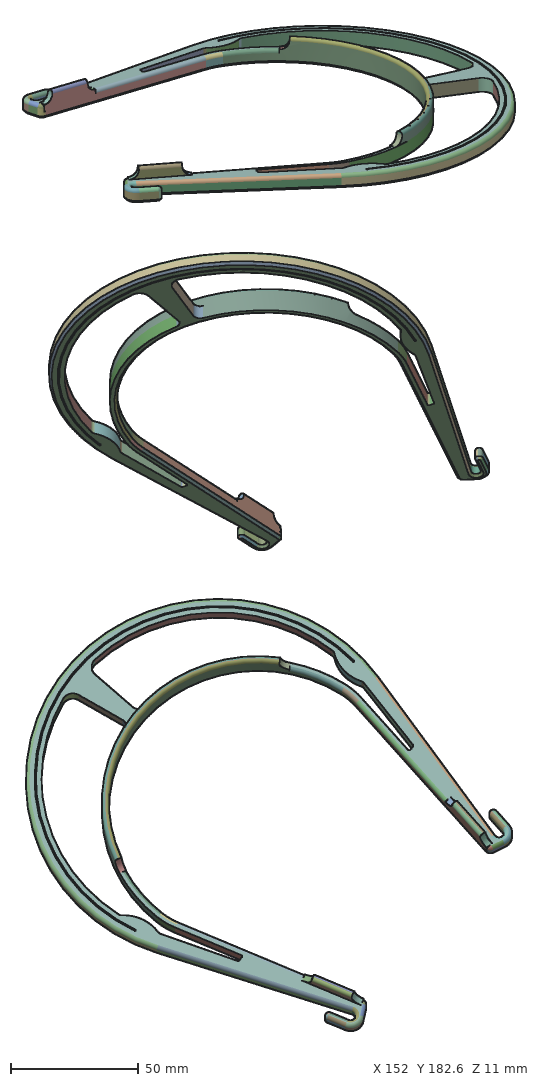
import cadquery as cq
import math

BASE_HEIGHT = 5.93
TOTAL_HEIGHT = 11.0
TOP_ROUND = 1.5
BOTTOM_CHAMFER = 1.1

RING_OUTER_R = 76.0
RING_INNER_R = 69.8

BAND_CENTRE_Y = -19.4
BAND_INNER_R = 58.6
BAND_WIDTH = 3.0
BAND_OUTER_R = BAND_INNER_R + BAND_WIDTH
BAND_JOINT_ANGLE = 1.3
BAND_JOINT_ROUND = 27.4

ARM_OUTER_ANGLE = 18.4
ARM_INNER_ANGLE = 13.0
ARM_INNER_LENGTH = 84.5
TIP_ROUND = 2.4

HOOK_INNER_R = 1.92
HOOK_WIDTH = 3.3
HOOK_OUTER_R = HOOK_INNER_R + HOOK_WIDTH
HOOK_BOTTOM_Y = -106.6
HOOK_LEG_LENGTH = 9.3
HOOK_END_ROUND = 1.55
HOOK_EXIT_ANGLE = -60.0

SPOKE_HALF_WIDTH_AT_BAND = 3.1
SPOKE_HALF_WIDTH_AT_RING = 5.8
SPOKE_ROUND_AT_BAND = 3.0
SPOKE_ROUND_AT_RING = 4.4
BUMP_START_Y = -4.0
BUMP_PEAK = (-65.46, -13.9)
BUMP_END = (-66.5, -20.6)
BUMP_ROUND = 2.2
WINDOW_BOTTOM_X = -57.0
WINDOW_BOTTOM_Y = -52.8
WINDOW_CORNER_ROUND = 0.5

SLOT_INNER_R = 72.0
SLOT_WIDTH = 0.5
SLOT_END_Y = -12.6

LIP_BOTTOM = BASE_HEIGHT / 2
LIP_FOOT_R = 4.0
LIP_TOP_ROUND = 1.37
BAND_LIP_END_ANGLE = 29.0
ARM_LIP_START = 61.7
ARM_LIP_LENGTH = 17.3


def polar(centre, radius, degrees):
    """Point at a radius and angle from a centre."""
    angle = math.radians(degrees)
    return (centre[0] + radius * math.cos(angle), centre[1] + radius * math.sin(angle))


BAND_CENTRE = (0, BAND_CENTRE_Y)
OUTER_NORMAL = 180 + ARM_OUTER_ANGLE
INNER_NORMAL = 180 + ARM_INNER_ANGLE
INNER_DIRECTION = INNER_NORMAL + 90
BAND_JOINT = polar(BAND_CENTRE, BAND_INNER_R, 180 + BAND_JOINT_ANGLE)


def round_upright(solid, point, radius):
    """Round the upright edge that stands nearest to a point in plan."""
    nearest = cq.selectors.NearestToPointSelector((point[0], point[1], BASE_HEIGHT / 2))
    return solid.edges("|Z").edges(nearest).fillet(radius)


def plate():
    """Flat plate with ring, arms and hooks; its left outline is mirrored to the right."""
    arm = math.radians(ARM_OUTER_ANGLE)
    hook_y = HOOK_BOTTOM_Y + HOOK_OUTER_R
    hook_x = -(RING_OUTER_R + HOOK_INNER_R + hook_y * math.sin(arm)) / math.cos(arm)
    hook = (hook_x, hook_y)
    leg_inner = polar(hook, HOOK_INNER_R, INNER_NORMAL)
    leg_outer = polar(hook, HOOK_OUTER_R, INNER_NORMAL)
    leg_end_inner = polar(leg_inner, -HOOK_LEG_LENGTH, INNER_DIRECTION)
    leg_end_outer = polar(leg_outer, -HOOK_LEG_LENGTH, INNER_DIRECTION)
    tip = polar(BAND_JOINT, ARM_INNER_LENGTH, INNER_DIRECTION)

    solid = (
        cq.Workplane("XY")
        .moveTo(0, RING_OUTER_R)
        .threePointArc(polar((0, 0), RING_OUTER_R, 135), polar((0, 0), RING_OUTER_R, OUTER_NORMAL))
        .lineTo(*polar(hook, -HOOK_INNER_R, OUTER_NORMAL))
        .threePointArc(polar(hook, HOOK_INNER_R, -90), leg_inner)
        .lineTo(*leg_end_inner)
        .lineTo(*leg_end_outer)
        .lineTo(*leg_outer)
        .threePointArc(polar(hook, HOOK_OUTER_R, -90), polar(hook, HOOK_OUTER_R, HOOK_EXIT_ANGLE))
        .lineTo(*tip)
        .lineTo(*BAND_JOINT)
        .threePointArc(polar(BAND_CENTRE, BAND_INNER_R, 135), polar(BAND_CENTRE, BAND_INNER_R, 90))
        .mirrorY()
        .extrude(BASE_HEIGHT)
    )
    rounds = (
        (BAND_JOINT, BAND_JOINT_ROUND),
        (tip, TIP_ROUND),
        (leg_end_inner, HOOK_END_ROUND),
        (leg_end_outer, HOOK_END_ROUND),
    )
    for (x, y), radius in rounds:
        solid = round_upright(solid, (x, y), radius)
        solid = round_upright(solid, (-x, y), radius)
    solid = solid.faces(">Z").edges().fillet(TOP_ROUND)
    return solid.faces("<Z").edges().chamfer(BOTTOM_CHAMFER)


def window():
    """Left window, cut through the plate."""
    def on_circle(centre_y, radius, x):
        return (x, centre_y + math.sqrt(radius**2 - x**2))

    spoke_band = on_circle(BAND_CENTRE_Y, BAND_OUTER_R, -SPOKE_HALF_WIDTH_AT_BAND)
    spoke_ring = on_circle(0, RING_INNER_R, -SPOKE_HALF_WIDTH_AT_RING)
    bump_start = (-math.sqrt(RING_INNER_R**2 - BUMP_START_Y**2), BUMP_START_Y)
    joint = polar(BAND_CENTRE, BAND_OUTER_R, 180 + BAND_JOINT_ANGLE)
    run = (WINDOW_BOTTOM_Y - joint[1]) / math.sin(math.radians(INNER_DIRECTION))
    bottom_right = polar(joint, run, INNER_DIRECTION)
    bottom_left = (WINDOW_BOTTOM_X, WINDOW_BOTTOM_Y)

    opening = (
        cq.Workplane("XY")
        .moveTo(*spoke_band)
        .lineTo(*spoke_ring)
        .threePointArc(polar((0, 0), RING_INNER_R, 135), bump_start)
        .threePointArc(BUMP_PEAK, BUMP_END)
        .lineTo(*bottom_left)
        .lineTo(*bottom_right)
        .lineTo(*joint)
        .threePointArc(polar(BAND_CENTRE, BAND_OUTER_R, 135), spoke_band)
        .close()
        .extrude(BASE_HEIGHT)
    )
    rounds = (
        (spoke_band, SPOKE_ROUND_AT_BAND),
        (spoke_ring, SPOKE_ROUND_AT_RING),
        (bump_start, BUMP_ROUND),
        (BUMP_END, BUMP_ROUND),
        (bottom_left, WINDOW_CORNER_ROUND),
        (bottom_right, WINDOW_CORNER_ROUND),
        (joint, BAND_JOINT_ROUND + BAND_WIDTH),
    )
    for corner, radius in rounds:
        opening = round_upright(opening, corner, radius)
    return opening


def ring_slot():
    """Narrow slot along the ring with flat ends."""
    outer_r = SLOT_INNER_R + SLOT_WIDTH
    inner_x = math.sqrt(SLOT_INNER_R**2 - SLOT_END_Y**2)
    outer_x = math.sqrt(outer_r**2 - SLOT_END_Y**2)
    return (
        cq.Workplane("XY")
        .moveTo(-inner_x, SLOT_END_Y)
        .threePointArc((0, SLOT_INNER_R), (inner_x, SLOT_END_Y))
        .lineTo(outer_x, SLOT_END_Y)
        .threePointArc((0, outer_r), (-outer_x, SLOT_END_Y))
        .close()
        .extrude(BASE_HEIGHT)
    )


def lip_end_cutter(point, direction):
    """Space beyond a lip end: it leaves a concave foot running out along the direction."""
    angle = math.radians(direction)
    plane = cq.Plane(
        origin=(point[0], point[1], BASE_HEIGHT),
        xDir=(math.cos(angle), math.sin(angle), 0),
        normal=(math.sin(angle), -math.cos(angle), 0),
    )
    height = TOTAL_HEIGHT - BASE_HEIGHT
    mid = polar((LIP_FOOT_R, LIP_FOOT_R), LIP_FOOT_R, 225)
    reach = 2 * LIP_FOOT_R
    return (
        cq.Workplane(plane)
        .moveTo(0, height)
        .lineTo(0, LIP_FOOT_R)
        .threePointArc(mid, (LIP_FOOT_R, 0))
        .lineTo(LIP_FOOT_R, -height)
        .lineTo(reach, -height)
        .lineTo(reach, height)
        .close()
        .extrude(2 * BAND_WIDTH, both=True)
    )


def band_lip():
    """Raised back part of the band, with a concave foot at each end."""
    foot_angle = math.degrees(1.5 * LIP_FOOT_R / BAND_INNER_R)
    right = BAND_LIP_END_ANGLE - foot_angle
    left = 180 - right
    lip = (
        cq.Workplane("XY")
        .workplane(offset=LIP_BOTTOM)
        .moveTo(*polar(BAND_CENTRE, BAND_INNER_R, left))
        .threePointArc(polar(BAND_CENTRE, BAND_INNER_R, 90), polar(BAND_CENTRE, BAND_INNER_R, right))
        .lineTo(*polar(BAND_CENTRE, BAND_OUTER_R, right))
        .threePointArc(polar(BAND_CENTRE, BAND_OUTER_R, 90), polar(BAND_CENTRE, BAND_OUTER_R, left))
        .close()
        .extrude(TOTAL_HEIGHT - LIP_BOTTOM)
    )
    lip = lip.edges("%CIRCLE and >Z").fillet(LIP_TOP_ROUND)
    cutter = lip_end_cutter(
        polar(BAND_CENTRE, BAND_INNER_R, 180 - BAND_LIP_END_ANGLE), 270 - BAND_LIP_END_ANGLE
    )
    return lip.cut(cutter).cut(cutter.mirror("YZ"))


def arm_lip():
    """Short raised bar on the inner edge of the left arm."""
    start = polar(BAND_JOINT, ARM_LIP_START, INNER_DIRECTION)
    angle = math.radians(INNER_DIRECTION)
    plane = cq.Plane(
        origin=(start[0], start[1], LIP_BOTTOM),
        xDir=(math.cos(angle), math.sin(angle), 0),
        normal=(0, 0, 1),
    )
    lip = (
        cq.Workplane(plane)
        .moveTo(-LIP_FOOT_R, 0)
        .lineTo(ARM_LIP_LENGTH + LIP_FOOT_R, 0)
        .lineTo(ARM_LIP_LENGTH + LIP_FOOT_R, -BAND_WIDTH)
        .lineTo(-LIP_FOOT_R, -BAND_WIDTH)
        .close()
        .extrude(TOTAL_HEIGHT - LIP_BOTTOM)
    )
    long_edges = cq.selectors.ParallelDirSelector(plane.xDir)
    lip = lip.faces(">Z").edges(long_edges).fillet(LIP_TOP_ROUND)
    finish = polar(start, ARM_LIP_LENGTH, INNER_DIRECTION)
    lip = lip.cut(lip_end_cutter(finish, INNER_DIRECTION))
    return lip.cut(lip_end_cutter(start, INNER_DIRECTION + 180))


left_window = window()
left_lip = arm_lip()
result = (
    plate()
    .union(band_lip())
    .union(left_lip)
    .union(left_lip.mirror("YZ"))
    .cut(ring_slot())
    .cut(left_window)
    .cut(left_window.mirror("YZ"))
)